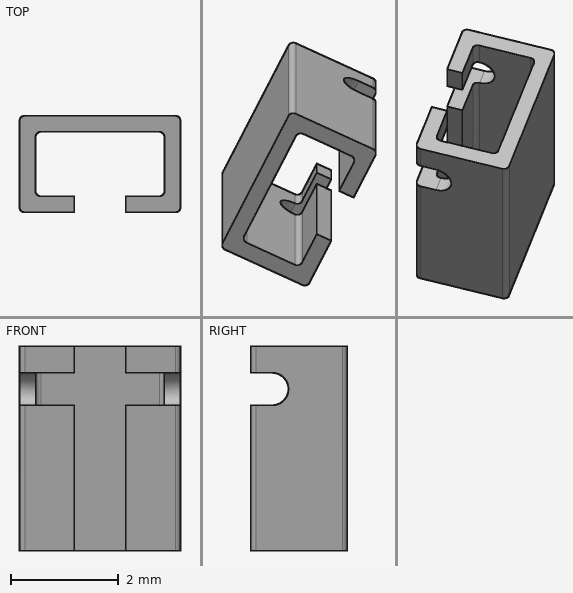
import cadquery as cq

width = 3.0
depth = 1.8
height = 3.81
wall = 0.3
corner_radius = 0.1
gap_width = 0.95

slot_height = 0.6
slot_depth = 0.7
slot_top_margin = 0.5

front_y = -depth / 2


def rounded_block(size_x, size_y):
    """Full-height block with rounded vertical edges."""
    block = cq.Workplane("XY").rect(size_x, size_y).extrude(height)
    return block.edges("|Z").fillet(corner_radius)


def channel():
    """Rectangular tube with a central gap along its front wall."""
    tube = rounded_block(width, depth).cut(rounded_block(width - 2 * wall, depth - 2 * wall))
    gap = cq.Workplane("XY").center(0, front_y + wall / 2).rect(gap_width, wall).extrude(height)
    return tube.cut(gap)


def cross_slot():
    """Slot across the full width, open at the front with a semicircular end."""
    radius = slot_height / 2
    top_z = height - slot_top_margin
    bottom_z = top_z - slot_height
    arc_start_y = front_y + slot_depth - radius
    return (
        cq.Workplane("YZ")
        .moveTo(front_y, bottom_z)
        .lineTo(arc_start_y, bottom_z)
        .threePointArc((front_y + slot_depth, top_z - radius), (arc_start_y, top_z))
        .lineTo(front_y, top_z)
        .close()
        .extrude(width / 2, both=True)
    )


result = channel().cut(cross_slot())